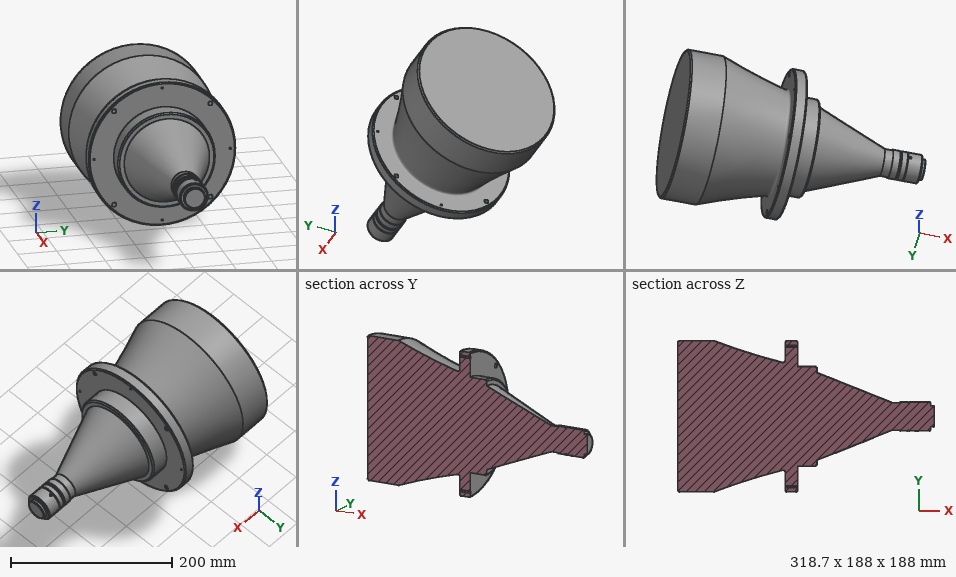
import cadquery as cq
import math

length = 318.7
barrel_radius = 94.0
barrel_end = 45.3
barrel_chamfer = 2.0

flare_end = 129.7
flare_sag = 1.3
neck_radius = 67.2
neck_fillet = 2.5

flange_start = 133.5
flange_end = 149.0
flange_chamfer = 1.5
hole_circle_radius = 87.0
bolt_hole_diameter = 5.5
pin_hole_diameter = 2.0

hub_radius = 62.0
hub_end = 173.0
hub_chamfer = 2.0
cone_start_radius = 54.5
cone_end = 264.8
cone_end_radius = 18.0

stem_radius = 17.2
stem_blend = 1.0
ring_radius = 18.2
ring_start = 276.3
ring_end = 286.2
ring_chamfer = 1.0
mount_start = 287.8
mount_end = 314.2
mount_chamfer = 1.5
groove_center = 295.0
groove_width = 1.0
groove_depth = 0.3
tip_radius = 13.5
tip_chamfer = 1.0

screw_x = 298.0
screw_diameter = 3.0
screw_depth = 2.0
front_screw_z = -3.35
top_screw_y = 5.7


def turned_body():
    """Revolve the half profile, from the front face to the mount tip."""
    run = flare_end - barrel_end
    drop = barrel_radius - neck_radius
    chord = math.hypot(run, drop)
    flare_middle = (
        (barrel_end + flare_end) / 2 - flare_sag * drop / chord,
        (barrel_radius + neck_radius) / 2 - flare_sag * run / chord,
    )
    fillet_middle = (
        flange_start - neck_fillet * (1 - math.sqrt(0.5)),
        neck_radius + neck_fillet * (1 - math.sqrt(0.5)),
    )
    profile = (
        cq.Workplane("XY")
        .lineTo(0, barrel_radius - barrel_chamfer)
        .lineTo(barrel_chamfer, barrel_radius)
        .lineTo(barrel_end, barrel_radius)
        .threePointArc(flare_middle, (flare_end, neck_radius))
        .lineTo(flange_start - neck_fillet, neck_radius)
        .threePointArc(fillet_middle, (flange_start, neck_radius + neck_fillet))
        .lineTo(flange_start, barrel_radius - flange_chamfer)
        .lineTo(flange_start + flange_chamfer, barrel_radius)
        .lineTo(flange_end - flange_chamfer, barrel_radius)
        .lineTo(flange_end, barrel_radius - flange_chamfer)
        .lineTo(flange_end, hub_radius)
        .lineTo(hub_end - hub_chamfer, hub_radius)
        .lineTo(hub_end, hub_radius - hub_chamfer)
        .lineTo(hub_end, cone_start_radius)
        .lineTo(cone_end, cone_end_radius)
        .lineTo(cone_end + stem_blend, stem_radius)
        .lineTo(ring_start, stem_radius)
        .lineTo(ring_start, ring_radius)
        .lineTo(ring_end - ring_chamfer, ring_radius)
        .lineTo(ring_end, ring_radius - ring_chamfer)
        .lineTo(mount_start, stem_radius)
        .lineTo(mount_start, ring_radius)
        .lineTo(mount_end - mount_chamfer, ring_radius)
        .lineTo(mount_end, ring_radius - mount_chamfer)
        .lineTo(mount_end, tip_radius)
        .lineTo(length - tip_chamfer, tip_radius)
        .lineTo(length, tip_radius - tip_chamfer)
        .lineTo(length, 0)
        .close()
    )
    return profile.revolve(360, (0, 0, 0), (1, 0, 0))


def flange_holes(diameter, start_angle):
    """Four holes through the flange, equally spaced on the hole circle."""
    return (
        cq.Workplane("YZ", origin=(flange_start, 0, 0))
        .polarArray(hole_circle_radius, start_angle, 360, 4)
        .circle(diameter / 2)
        .extrude(flange_end - flange_start)
    )


def mount_groove():
    """Narrow groove around the camera mount."""
    return (
        cq.Workplane("YZ", origin=(groove_center - groove_width / 2, 0, 0))
        .circle(ring_radius)
        .circle(ring_radius - groove_depth)
        .extrude(groove_width)
    )


def screw_hole(y, z):
    """Shallow radial hole whose mouth is centred at (y, z) on the mount."""
    outward = cq.Vector(0, y, z).normalized()
    floor = outward * (ring_radius - screw_depth) + cq.Vector(screw_x, 0, 0)
    return cq.Solid.makeCylinder(screw_diameter / 2, 2 * screw_depth, floor, outward)


result = turned_body()
result = result.cut(flange_holes(bolt_hole_diameter, 45))
result = result.cut(flange_holes(pin_hole_diameter, 0))
result = result.cut(mount_groove())
result = result.cut(screw_hole(-math.sqrt(ring_radius**2 - front_screw_z**2), front_screw_z))
result = result.cut(screw_hole(top_screw_y, math.sqrt(ring_radius**2 - top_screw_y**2)))